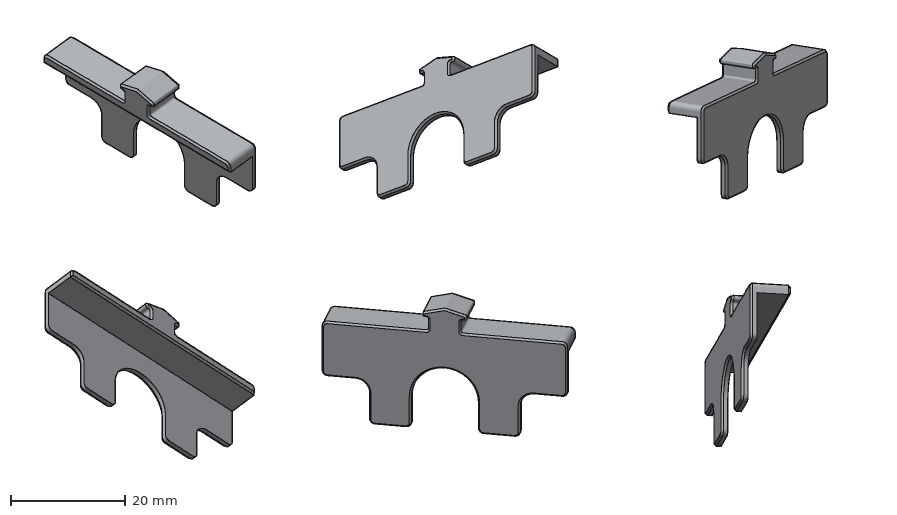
import cadquery as cq
import math

length = 44.0
depth = 7.2
height = 23.5

wall_thickness = 1.2
shelf_top = 19.0
shelf_bottom = 17.0
wing_bottom = 8.5
corner_radius = 1.0

leg_outer = 13.5
arch_radius = 6.0
arch_center_z = 6.0
leg_root_radius = 2.5

neck_half_width = 2.9
head_half_width = 3.95
head_slope = 15.0
head_edge_bottom = 21.5
head_corner_radius = 0.4
ridge_radius = 0.4
neck_fillet = 0.4

bevel_depth = 0.4
bevel_inset = 0.33

half_length = length / 2

rear_y = depth / 2 - bevel_depth
front_y = -rear_y
bevel_angle = math.degrees(math.atan2(bevel_inset, bevel_depth))

slope_angle = math.radians(head_slope)
sharp_ridge = height + ridge_radius * (1 / math.cos(slope_angle) - 1)
head_edge_top = sharp_ridge - head_half_width * math.tan(slope_angle)


def both_sides(points):
    """Return the (x, z) points together with their mirror images across x = 0."""
    return points + [(-x, z) for x, z in points]


def round_corners(body, corners, radius):
    """Fillet the edges along Y that pass through the given (x, z) corners."""
    for x, z in corners:
        edge = body.edges("|Y").edges(cq.NearestToPointSelector((x, 0, z)))
        body = edge.fillet(radius)
    return body


def make_silhouette():
    """Body with the outline of the wall, shelf, head and legs, between the two bevels."""
    wing_corners = [(half_length, shelf_top), (half_length, wing_bottom)]
    leg_root = [(leg_outer, wing_bottom)]
    leg_corners = [(leg_outer, 0), (arch_radius, 0)]
    head_corners = [(head_half_width, head_edge_top), (head_half_width, head_edge_bottom)]
    neck_corners = [(neck_half_width, head_edge_bottom), (neck_half_width, shelf_top)]

    right_side = head_corners + neck_corners + wing_corners + leg_root + leg_corners
    right_side.append((arch_radius, arch_center_z))
    left_side = [(-x, z) for x, z in reversed(right_side)]

    body = (
        cq.Workplane("XZ", origin=(0, rear_y, 0))
        .moveTo(0, sharp_ridge)
        .polyline(right_side, includeCurrent=True)
        .threePointArc((0, arch_center_z + arch_radius), left_side[0])
        .polyline(left_side[1:], includeCurrent=True)
        .close()
        .extrude(rear_y - front_y)
    )
    body = round_corners(body, both_sides(wing_corners + leg_corners), corner_radius)
    body = round_corners(body, both_sides(leg_root), leg_root_radius)
    body = round_corners(body, [(0, sharp_ridge)], ridge_radius)
    body = round_corners(body, both_sides(head_corners), head_corner_radius)
    return round_corners(body, both_sides(neck_corners), neck_fillet)


def make_under_shelf_space():
    """Space below the shelf, in front of the rear wall."""
    wall_front_y = depth / 2 - wall_thickness
    return cq.Workplane("XY", origin=(0, front_y, 0)).box(
        length, wall_front_y - front_y, shelf_bottom, centered=(True, False, False)
    )


def add_beveled_cap(body, face_selector):
    """Extend a flat end face outward, narrowing it by the bevel all around its rim."""
    rim = body.faces(face_selector).wires().toPending()
    return rim.workplane().extrude(bevel_depth, taper=bevel_angle)


result = make_silhouette().cut(make_under_shelf_space())
result = add_beveled_cap(result, "<Y")
result = add_beveled_cap(result, ">Y")